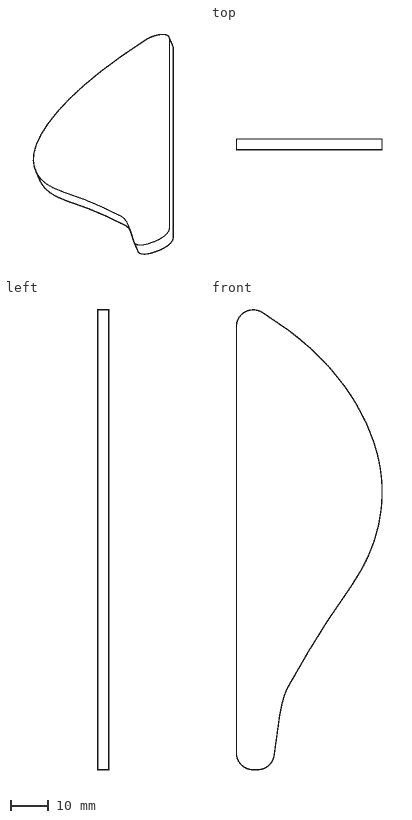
import cadquery as cq
import math

height = 122.7
width = 38.9
thickness = 3.0

corner_radius = 4.5
tip_flat = 1.1
top_normal_angle = 58.0
bottom_normal_angle = -7.0

widest_height = 75.8
upper_bulge = [(25.0, 107.1), (34.7, 92.4)]
lower_sweep = [(35.2, 56.9), (25.0, 40.7), (15.1, 24.4)]


def on_corner(center, angle):
    """Point at the given angle (degrees) on a corner arc."""
    turn = math.radians(angle)
    return (
        center[0] + corner_radius * math.cos(turn),
        center[1] + corner_radius * math.sin(turn),
    )


def clockwise_tangent(angle):
    """Direction of clockwise travel at the given angle (degrees) on a corner arc."""
    turn = math.radians(angle)
    return (math.sin(turn), -math.cos(turn))


top_center = (corner_radius, height - corner_radius)
bottom_left_center = (corner_radius, corner_radius)
bottom_right_center = (corner_radius + tip_flat, corner_radius)

curve_start = on_corner(top_center, top_normal_angle)
curve_end = on_corner(bottom_right_center, bottom_normal_angle)
curve_points = upper_bulge + [(width, widest_height)] + lower_sweep + [curve_end]
curve_tangents = [
    clockwise_tangent(top_normal_angle),
    clockwise_tangent(bottom_normal_angle),
]

outline = (
    cq.Workplane("XZ")
    .moveTo(0, corner_radius)
    .lineTo(0, height - corner_radius)
    .threePointArc(on_corner(top_center, 120), curve_start)
    .spline(curve_points, tangents=curve_tangents, includeCurrent=True)
    .threePointArc(on_corner(bottom_right_center, -45), on_corner(bottom_right_center, -90))
    .lineTo(corner_radius, 0)
    .threePointArc(on_corner(bottom_left_center, 225), (0, corner_radius))
    .close()
)

result = outline.extrude(thickness / 2, both=True)